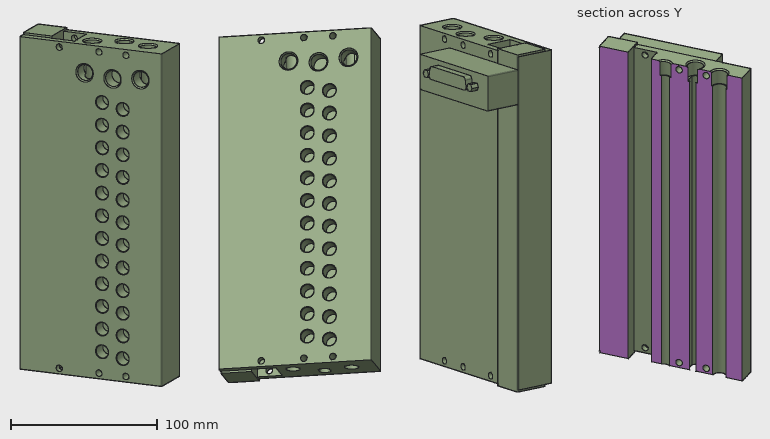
import cadquery as cq
import math

block_width = 106.6
block_depth = 29.8
total_length = 238.0
end_step = 1.5
block_bottom = end_step
block_top = total_length - end_step
edge_round = 0.7

channel_width = 38.8
channel_front = 5.2
channel_back = 24.8
cover_inset = 0.2
cover_right = 21.7
cover_front = 5.7
cover_back = 30.0
cover_round = 0.7

mount_hole_diameter = 4.5
mount_hole_xs = (29.8, 59.5, 79.7)
mount_hole_inset = 4.0

port_diameter = 11.2
hole_depth = 11.2
port_chamfer = 1.0
face_ports = ((48.8, 216.5), (69.7, 214.7), (90.7, 216.5))
pressure_port = (69.7, 19.3)
exhaust_ports = ((49.5, 11.0), (89.5, 15.0))

passage_diameter = 9.8
pressure_passage_width = 7.9

outlet_count = 12
outlet_span = 176.1
outlet_pitch = outlet_span / (outlet_count - 1)
outlet_diameter = 9.0
outlet_chamfer = 0.35
outlet_columns = ((61.9, 21.0), (77.4, 17.8))

housing_left = 0.2
housing_right = 73.8
housing_back = 56.0
housing_bottom = 202.8
housing_top = 227.5
housing_round = 0.5

plug_length = 5.7
plug_center_x = 37.0
shell_bottom = 214.7
shell_height = 9.3
shell_top_width = 37.5
shell_slant = math.radians(10)
shell_corner = 2.4
screw_spacing = 47.1
screw_height = 217.5
screw_across_flats = 5.0

INTO_FACE = cq.Vector(0, 1, 0)
INTO_TOP_END = cq.Vector(0, 0, -1)


def box(x_range, y_range, z_range):
    """Box between two limits along each axis."""
    ranges = (x_range, y_range, z_range)
    low_corner = tuple(low for low, high in ranges)
    size = tuple(high - low for low, high in ranges)
    return cq.Workplane("XY", origin=low_corner).box(*size, centered=False)


def round_hole(start, direction, diameter, depth):
    """Cutter for a plain round hole, as a solid."""
    return cq.Solid.makeCylinder(diameter / 2, depth, cq.Vector(*start), direction)


def chamfered_hole(start, direction, diameter, depth, chamfer):
    """Cutter for a flat-bottomed hole with a chamfered mouth, as a solid."""
    bore = round_hole(start, direction, diameter, depth)
    mouth = cq.Solid.makeCone(
        diameter / 2 + chamfer, diameter / 2, chamfer, cq.Vector(*start), direction
    )
    return bore.fuse(mouth)


def make_block():
    block = box((0, block_width), (0, block_depth), (block_bottom, block_top))
    block = block.edges("|Z").fillet(edge_round)
    channel = box((cover_right, channel_width), (channel_front, channel_back), (block_bottom, block_top))
    return block.cut(channel)


def make_cover():
    cover = box((cover_inset, cover_right), (cover_front, cover_back), (0, total_length))
    return cover.edges("|Z and <X").fillet(cover_round)


def make_housing():
    housing = box((housing_left, housing_right), (channel_back, housing_back), (housing_bottom, housing_top))
    return housing.edges("|Y and <X").fillet(housing_round)


def make_shell():
    half_top = shell_top_width / 2
    half_bottom = half_top + shell_height * math.tan(shell_slant)
    outline = [
        (-half_bottom, 0),
        (half_bottom, 0),
        (half_top, shell_height),
        (-half_top, shell_height),
    ]
    shell = (
        cq.Workplane("XZ", origin=(plug_center_x, housing_back, shell_bottom))
        .polyline(outline)
        .close()
        .extrude(-plug_length)
    )
    return shell.edges("|Y").fillet(shell_corner)


def make_jack_screws():
    across_corners = screw_across_flats / math.cos(math.pi / 6)
    return (
        cq.Workplane("XZ", origin=(plug_center_x, housing_back, screw_height))
        .pushPoints([(-screw_spacing / 2, 0), (screw_spacing / 2, 0)])
        .polygon(6, across_corners)
        .extrude(-plug_length)
    )


def mount_holes():
    heights = (block_bottom + mount_hole_inset, block_top - mount_hole_inset)
    return [
        round_hole((x, 0, z), INTO_FACE, mount_hole_diameter, block_depth)
        for x in mount_hole_xs
        for z in heights
    ]


def face_holes():
    holes = [
        chamfered_hole((x, 0, z), INTO_FACE, port_diameter, hole_depth, port_chamfer)
        for x, z in face_ports
    ]
    for x, lowest in outlet_columns:
        for i in range(outlet_count):
            start = (x, 0, lowest + i * outlet_pitch)
            holes.append(chamfered_hole(start, INTO_FACE, outlet_diameter, hole_depth, outlet_chamfer))
    return holes


def end_holes():
    holes = []
    for x, y in (pressure_port, *exhaust_ports):
        start = (x, y, block_top)
        holes.append(chamfered_hole(start, INTO_TOP_END, port_diameter, hole_depth, port_chamfer))
    for x, y in exhaust_ports:
        holes.append(round_hole((x, y, block_top), INTO_TOP_END, passage_diameter, block_top))

    x, y = pressure_port
    passage = round_hole((x, y, block_top), INTO_TOP_END, passage_diameter, block_top)
    half_width = pressure_passage_width / 2
    flats = box((x - half_width, x + half_width), (0, block_depth), (0, block_top))
    holes.append(passage.intersect(flats.val()))
    return holes


body = make_block().union(make_cover()).union(make_housing())
body = body.union(make_shell()).union(make_jack_screws())
cutters = mount_holes() + face_holes() + end_holes()
result = cq.Workplane(body.val().cut(*cutters))